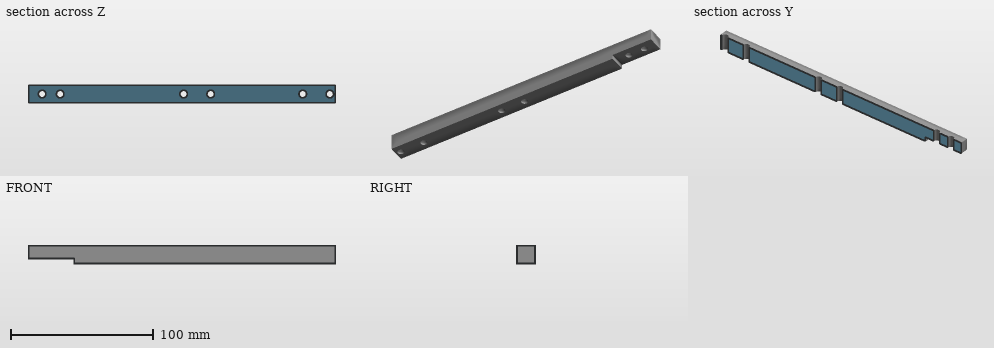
import cadquery as cq

length = 215.9
width = 12.7
height = 12.7

step_length = 32.0
step_depth = 3.4

hole_diameter = 4.98
hole_pairs = [
    (9.525, 12.7),
    (109.1, 19.05),
    (192.92, 19.05),
]


def make_bar():
    return cq.Workplane("XY").box(length, width, height, centered=(False, True, False))


def cut_end_step(bar):
    step = cq.Workplane("XY").box(step_length, width, step_depth, centered=(False, True, False))
    return bar.cut(step)


def drill_hole_pairs(bar):
    for first_hole, spacing in hole_pairs:
        centres = [(first_hole, 0), (first_hole + spacing, 0)]
        drills = cq.Workplane("XY").pushPoints(centres).circle(hole_diameter / 2).extrude(height)
        bar = bar.cut(drills)
    return bar


result = drill_hole_pairs(cut_end_step(make_bar()))